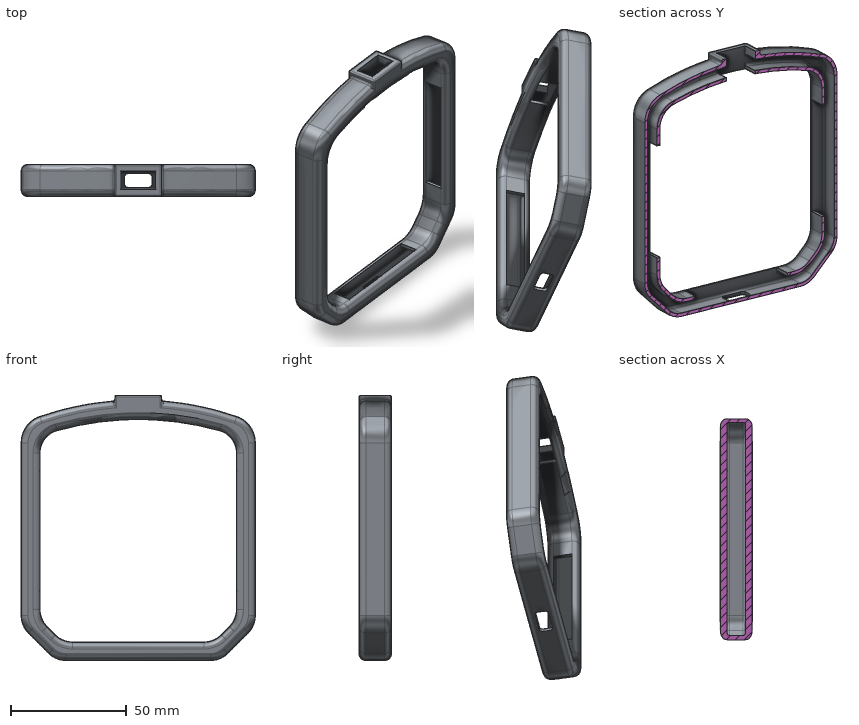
import cadquery as cq
import math

WIDTH = 101.3
DEPTH = 14.0
HEIGHT = 114.66
SIDE_RAIL = 8.15
BOTTOM_RAIL = 8.0
ARCH_RAIL = 8.45
CROWN = 112.7
EDGE_RADIUS = 3.0
ARCH_RADIUS = 130.0
OPENING_ARCH_RADIUS = 131.0
LOWER_CUT = 15.05
OPENING_LOWER_CUT = 9.7
LOWER_CORNER_RADIUS = 10.5
UPPER_CORNER_RADIUS = 12.0
OPENING_UPPER_CORNER_RADIUS = 10.0

CHANNEL_WIDTH = 8.0
CHANNEL_WALL = 1.5
CHANNEL_EDGE_RADIUS = 1.0

BOTTOM_SLOT_LENGTH = 48.5
SIDE_SLOT_LENGTH = 52.0
SIDE_SLOT_MIDDLE = 56.0

WINDOW_LENGTH = 12.0
WINDOW_WIDTH = 6.0
WINDOW_CORNER_RADIUS = 1.6

COLLAR_LENGTH = 20.2
COLLAR_EDGE_RADIUS = 0.7
COLLAR_BLEND_RADIUS = 1.0
SOCKET_LENGTH = 15.0
SOCKET_WIDTH = 8.0

OPENING_HALF_WIDTH = WIDTH / 2 - SIDE_RAIL
OPENING_CROWN = CROWN - ARCH_RAIL
CUT_CHANGE = 2 - math.sqrt(2)
TOLERANCE = 0.01


def arch_height(crown, radius, x):
    """Height of an arch at a distance x from the middle of the frame."""
    return crown - radius + math.sqrt(radius**2 - x**2)


def outline_prism(depth, half_width, base, crown, arch_radius, cut, lower_radius, upper_radius):
    """Solid of one closed outline: arched top, straight sides, cut and rounded lower corners."""
    shoulder = arch_height(crown, arch_radius, half_width)
    prism = (
        cq.Workplane("XZ")
        .moveTo(-half_width, base + cut)
        .lineTo(-half_width + cut, base)
        .lineTo(half_width - cut, base)
        .lineTo(half_width, base + cut)
        .lineTo(half_width, shoulder)
        .threePointArc((0, crown), (-half_width, shoulder))
        .close()
        .extrude(depth / 2, both=True)
    )
    reach = half_width + TOLERANCE
    lower_corners = cq.selectors.BoxSelector(
        (-reach, -depth, base - TOLERANCE), (reach, depth, base + cut + TOLERANCE)
    )
    upper_corners = cq.selectors.BoxSelector(
        (-reach, -depth, shoulder - TOLERANCE), (reach, depth, shoulder + TOLERANCE)
    )
    prism = prism.edges("|Y").edges(lower_corners).fillet(lower_radius)
    return prism.edges("|Y").edges(upper_corners).fillet(upper_radius)


def outer_prism(depth, inset=0):
    """Outer outline of the frame, moved inwards by the inset."""
    return outline_prism(
        depth,
        WIDTH / 2 - inset,
        inset,
        CROWN - inset,
        ARCH_RADIUS - inset,
        LOWER_CUT - inset * CUT_CHANGE,
        LOWER_CORNER_RADIUS - inset,
        UPPER_CORNER_RADIUS - inset,
    )


def opening_prism(depth, growth=0):
    """Outline of the opening, moved outwards by the growth."""
    return outline_prism(
        depth,
        OPENING_HALF_WIDTH + growth,
        BOTTOM_RAIL - growth,
        OPENING_CROWN + growth,
        OPENING_ARCH_RADIUS + growth,
        OPENING_LOWER_CUT + growth * CUT_CHANGE,
        LOWER_CORNER_RADIUS + growth,
        OPENING_UPPER_CORNER_RADIUS + growth,
    )


def ring(outside, inside, edge_radius):
    """Ring between two outlines, with its front and back edges rounded."""
    return outside.cut(inside).faces("<Y or >Y").edges().fillet(edge_radius)


def upright_box(length, width, bottom, top):
    """Box centred on the Z axis between two heights."""
    return cq.Workplane("XY").workplane(offset=bottom).rect(length, width).extrude(top - bottom)


def add_collar(frame):
    """Frame with the rounded collar on its arch, blended into the arch at both ends."""
    bottom = CROWN - ARCH_RAIL / 2
    collar = upright_box(COLLAR_LENGTH, DEPTH, bottom, HEIGHT)
    collar = collar.edges("|Z or >Z").fillet(COLLAR_EDGE_RADIUS)
    body = frame.union(collar)
    seam_top = arch_height(CROWN, ARCH_RADIUS, COLLAR_LENGTH / 2)
    seam_outer = COLLAR_LENGTH / 2 + TOLERANCE
    seam_inner = COLLAR_LENGTH / 2 - COLLAR_EDGE_RADIUS
    seam_side = DEPTH / 2 - TOLERANCE
    left_seam = cq.selectors.BoxSelector(
        (-seam_outer, -seam_side, bottom), (-seam_inner, seam_side, seam_top + TOLERANCE)
    )
    right_seam = cq.selectors.BoxSelector(
        (seam_inner, -seam_side, bottom), (seam_outer, seam_side, seam_top + TOLERANCE)
    )
    return body.edges(left_seam + right_seam).fillet(COLLAR_BLEND_RADIUS)


def slots():
    """Openings in the inner wall of the bottom rail and of both side rails."""
    bottom_slot = upright_box(BOTTOM_SLOT_LENGTH, CHANNEL_WIDTH, BOTTOM_RAIL / 2, BOTTOM_RAIL)
    side_slots = upright_box(
        WIDTH - SIDE_RAIL,
        CHANNEL_WIDTH,
        SIDE_SLOT_MIDDLE - SIDE_SLOT_LENGTH / 2,
        SIDE_SLOT_MIDDLE + SIDE_SLOT_LENGTH / 2,
    )
    return bottom_slot.union(side_slots)


def window():
    """Rounded window through the outer wall of the bottom rail."""
    block = upright_box(WINDOW_LENGTH, WINDOW_WIDTH, 0, BOTTOM_RAIL)
    return block.edges("|Z").fillet(WINDOW_CORNER_RADIUS)


def socket():
    """Rectangular hole down through the collar and the arch."""
    return upright_box(SOCKET_LENGTH, SOCKET_WIDTH, OPENING_CROWN - ARCH_RAIL / 2, HEIGHT)


frame = ring(outer_prism(DEPTH), opening_prism(DEPTH), EDGE_RADIUS)
channel = ring(
    outer_prism(CHANNEL_WIDTH, CHANNEL_WALL),
    opening_prism(CHANNEL_WIDTH, CHANNEL_WALL),
    CHANNEL_EDGE_RADIUS,
)
result = add_collar(frame).cut(channel).cut(slots()).cut(window()).cut(socket())